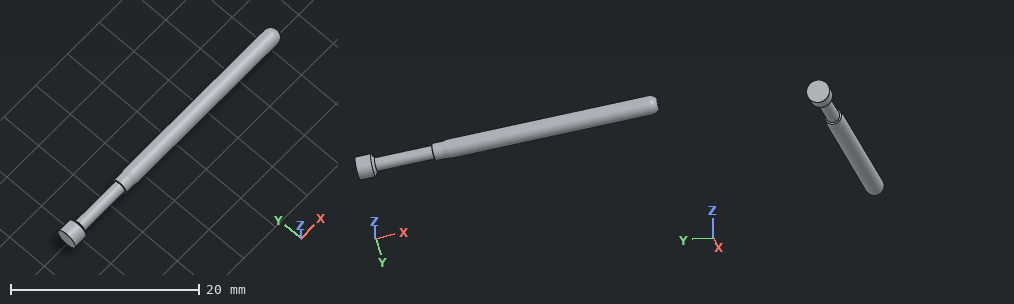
import cadquery as cq
import math

total_length = 33.02

head_radius = 1.27
shaft_radius = 0.75
collar_radius = 0.95
body_radius = 1.05

head_length = 1.72
head_taper_length = 0.3
shaft_length = 6.35
collar_length = 1.12
collar_taper_length = 0.55
tip_length = 0.9

head_taper_end = head_length + head_taper_length
shaft_end = head_taper_end + shaft_length
collar_end = shaft_end + collar_length
body_start = collar_end + collar_taper_length
body_end = total_length - tip_length


def tip_radius_at(distance):
    """Radius of the spherical tip at a distance beyond the body end."""
    return math.sqrt(body_radius**2 - distance**2)


profile = (
    cq.Workplane("XY")
    .moveTo(0, 0)
    .lineTo(0, head_radius)
    .lineTo(head_length, head_radius)
    .lineTo(head_taper_end, shaft_radius)
    .lineTo(shaft_end, shaft_radius)
    .lineTo(shaft_end, collar_radius)
    .lineTo(collar_end, collar_radius)
    .lineTo(body_start, body_radius)
    .lineTo(body_end, body_radius)
    .threePointArc(
        (body_end + tip_length / 2, tip_radius_at(tip_length / 2)),
        (total_length, tip_radius_at(tip_length)),
    )
    .lineTo(total_length, 0)
    .close()
)

result = profile.revolve(360, (0, 0, 0), (1, 0, 0))